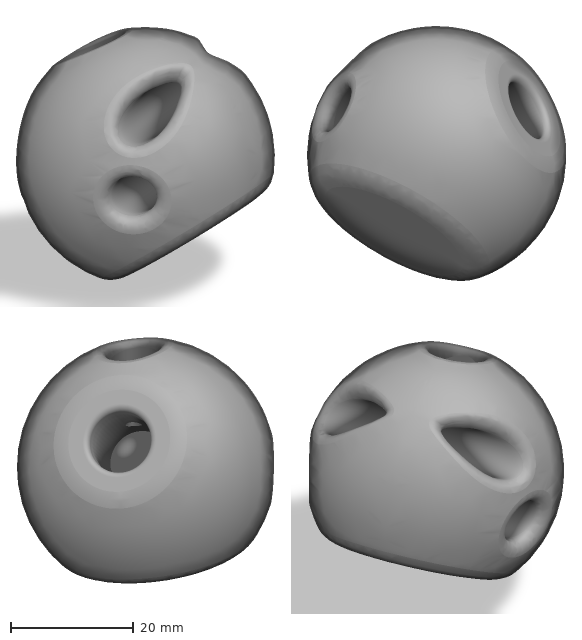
import cadquery as cq
import math

ball_radius = 21.25
flat_edge_radius = 5.0

side_flat_distance = 18.77
bore_diameter = 10.3
bore_depth = 15.0
bore_edge_radius = 1.0

base_flat_distance = 15.05
base_flat_tilt = 35.0

cord_hole_diameter = 7.0
cord_hole_x = 6.3
cord_hole_heights = (0.0, 11.98)
socket_diameter = 8.0
socket_x = -8.75
socket_floor_z = 14.0
pilot_diameter = 2.7
mouth_radius = 2.0


def cylinder(diameter, start, direction, length):
    return cq.Workplane(cq.Solid.makeCylinder(diameter / 2, length, cq.Vector(*start), cq.Vector(*direction)))


def cut_flat(body, distance, normal):
    """Remove everything farther than distance from the centre along the unit normal."""
    start = [distance * part for part in normal]
    return body.cut(cylinder(4 * ball_radius, start, normal, ball_radius))


tilt = math.radians(base_flat_tilt)
base_normal = (math.sin(tilt), 0, -math.cos(tilt))
body = cq.Workplane("XY").sphere(ball_radius)
body = cut_flat(body, side_flat_distance, (-1, 0, 0))
body = cut_flat(body, base_flat_distance, base_normal)
body = body.faces("%PLANE").edges().fillet(flat_edge_radius)

for height in cord_hole_heights:
    start = (cord_hole_x, -ball_radius, height)
    body = body.cut(cylinder(cord_hole_diameter, start, (0, 1, 0), 2 * ball_radius))
    hole_wall = cq.selectors.BoxSelector(
        (cord_hole_x - cord_hole_diameter, -ball_radius, height - cord_hole_diameter / 2),
        (cord_hole_x + cord_hole_diameter, ball_radius, height + cord_hole_diameter / 2),
    )
    body = body.faces("%CYLINDER").faces(hole_wall).edges("not |Y").fillet(mouth_radius)

body = body.cut(cylinder(socket_diameter, (socket_x, 0, 0), (0, 0, 1), ball_radius))
socket_wall = cq.selectors.NearestToPointSelector((socket_x, 0, socket_floor_z / 2))
body = body.faces("%CYLINDER").faces(socket_wall).edges("not %CIRCLE").edges("not |Z").fillet(mouth_radius)
crest_diameter = socket_diameter + 2 * mouth_radius
body = body.union(cylinder(crest_diameter, (socket_x, 0, 0), (0, 0, 1), socket_floor_z))

body = body.cut(cylinder(bore_diameter, (-side_flat_distance, 0, 0), (1, 0, 0), bore_depth))
bore_mouth = cq.selectors.RadiusNthSelector(0)
body = body.faces("<X").edges("%CIRCLE").edges(bore_mouth).fillet(bore_edge_radius)

result = body.cut(cylinder(pilot_diameter, (socket_x, 0, 0), (0, 0, 1), socket_floor_z + 0.42))